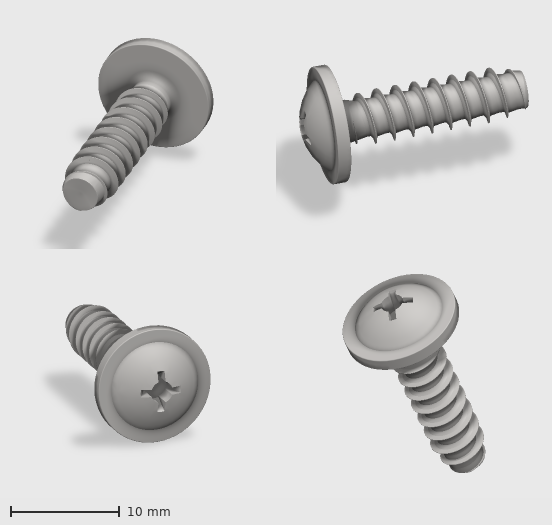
import cadquery as cq
import math

head_height = 3.17
shank_length = 17.97

flange_radius = 5.5
flange_thickness = 1.25
flange_edge_fillet = 0.08
dome_sphere_radius = 5.48

recess_core_radius = 1.05
recess_wing_radius = 1.99
recess_wing_width = 0.7
recess_wing_draft = 26.5
recess_floor = flange_thickness

dome_center_height = head_height - math.sqrt(dome_sphere_radius**2 - recess_core_radius**2)

neck_radius = 1.99
neck_fillet = 0.68
neck_length = 1.25
neck_taper_end = 2.05
core_radius = 1.73
tip_radius = 1.71
tip_dish_radius = 1.63
tip_dish_depth = 0.15

pitch = 1.8
first_crest_depth = 2.26
crest_radius = 2.52
crest_half_width = 0.032
head_flank_break_radius = 2.07
head_flank_break_offset = 0.1
head_flank_root_offset = 0.53
tip_flank_root_offset = 0.35
ramp_top_radius = 1.92
ramp_end_radius = 1.7
ramp_end_offset = 1.3
root_radius = 1.48
thread_overrun = pitch / 4

full_thread_start = 3.07
full_thread_end = 15.3
neck_runout_slope = 0.21
tip_runout_slope = 0.27
tip_ramp_relief = 0.53


def upright_cylinder(radius, bottom, top):
    return cq.Workplane("XY").workplane(offset=bottom).circle(radius).extrude(top - bottom)


def revolve_about_z(points):
    """Solid of revolution from (radius, z) points."""
    return cq.Workplane("XZ").polyline(points).close().revolve(360, (0, 0, 0), (0, 1, 0))


def make_head():
    """Flange with rounded edges, carrying the dome."""
    flange = upright_cylinder(flange_radius, 0, flange_thickness)
    flange = flange.faces("|Z").edges().fillet(flange_edge_fillet)
    base_radius = math.sqrt(dome_sphere_radius**2 - (flange_thickness - dome_center_height) ** 2)
    dome_blank = upright_cylinder(base_radius, flange_thickness / 2, 2 * head_height)
    sphere = cq.Workplane("XY").sphere(dome_sphere_radius).translate((0, 0, dome_center_height))
    return flange.union(dome_blank.intersect(sphere))


def make_recess_cutter():
    """Round core plus four wings whose ends draw in toward the floor."""
    top = 2 * head_height
    wing_edge_height = dome_center_height + math.sqrt(dome_sphere_radius**2 - recess_wing_radius**2)
    draft = math.tan(math.radians(recess_wing_draft))
    floor_radius = recess_wing_radius - (wing_edge_height - recess_floor) * draft
    top_radius = recess_wing_radius + (top - wing_edge_height) * draft
    wing_cone = revolve_about_z([(0, recess_floor), (floor_radius, recess_floor), (top_radius, top), (0, top)])

    cutter = upright_cylinder(recess_core_radius, recess_floor, top)
    for angle in (0, 90):
        bar = cq.Workplane("XY").box(2 * top_radius, recess_wing_width, 2 * top)
        cutter = cutter.union(bar.rotate((0, 0, 0), (0, 0, 1), angle).intersect(wing_cone))
    return cutter


def make_neck():
    """Neck with a concave fillet under the head and a short taper down to the thread core."""
    flare_radius = neck_radius + neck_fillet
    profile = (
        cq.Workplane("XZ")
        .moveTo(0, flange_thickness / 2)
        .lineTo(flare_radius, flange_thickness / 2)
        .lineTo(flare_radius, 0)
        .radiusArc((neck_radius, -neck_fillet), -neck_fillet)
        .lineTo(neck_radius, -neck_length)
        .lineTo(core_radius, -neck_taper_end)
        .lineTo(0, -neck_taper_end)
        .close()
    )
    return profile.revolve(360, (0, 0, 0), (0, 1, 0))


def sweep_thread(section, top_depth, bottom_depth, slope=0.0):
    """Sweep (radius, offset) points up the thread helix; their radius grows by slope per unit of rise."""
    rise = bottom_depth - top_depth
    if slope:
        cone_angle = math.degrees(math.atan(slope))
        slant = math.hypot(1, slope)
        helix = cq.Wire.makeHelix(pitch * slant, rise * slant, core_radius, angle=cone_angle)
    else:
        helix = cq.Wire.makeHelix(pitch, rise, core_radius)
    swept = cq.Workplane("XZ").polyline(section).close().sweep(cq.Workplane(helix), isFrenet=True)
    start_angle = 360 * (first_crest_depth - bottom_depth) / pitch
    return swept.rotate((0, 0, 0), (0, 0, 1), start_angle).translate((0, 0, -bottom_depth))


def ridge_section(inward_shift=0.0):
    """Pointed ridge profile as (radius, offset) points, moved toward the axis by inward_shift."""
    points = [
        (root_radius, head_flank_root_offset),
        (head_flank_break_radius, head_flank_break_offset),
        (crest_radius, crest_half_width),
        (crest_radius, -crest_half_width),
        (root_radius, -tip_flank_root_offset),
    ]
    return [(radius - inward_shift, offset) for radius, offset in points]


def make_thread_ridge():
    """Full-height ridge with a run-out at each end, trimmed to the threaded length; returns three solids."""
    tip_end = shank_length + thread_overrun
    tip_shift = (tip_end - full_thread_end) * tip_runout_slope
    full_ridge = sweep_thread(ridge_section(), full_thread_start, full_thread_end)
    neck_end = neck_length - thread_overrun
    neck_runout = sweep_thread(ridge_section(), neck_end, full_thread_start, -neck_runout_slope)
    tip_runout = sweep_thread(ridge_section(tip_shift), full_thread_end, tip_end, tip_runout_slope)
    threaded_length = upright_cylinder(2 * crest_radius, -shank_length, -neck_length)
    pieces = [full_ridge, neck_runout, tip_runout]
    return [piece.intersect(threaded_length) for piece in pieces]


def make_core():
    """Core cylinder and the sloping root beside the ridge, relieved at the tip."""
    ramp_section = [
        (root_radius, 0),
        (ramp_top_radius, 0),
        (ramp_end_radius, -ramp_end_offset),
        (root_radius, -ramp_end_offset),
    ]
    ramp = sweep_thread(ramp_section, neck_length - pitch, shank_length + thread_overrun)
    long_core = upright_cylinder(core_radius, -shank_length - pitch, -neck_length / 2)
    envelope = revolve_about_z(
        [
            (0, -neck_length),
            (neck_radius, -neck_length),
            (neck_radius, -shank_length + tip_ramp_relief),
            (tip_radius, -shank_length),
            (0, -shank_length),
        ]
    )
    return long_core.union(ramp).intersect(envelope)


def make_tip_dish():
    """Shallow cone hollowed into the end of the shank."""
    tip = -shank_length
    return revolve_about_z([(0, tip), (tip_dish_radius, tip), (0, tip + tip_dish_depth)])


threaded_shank = make_core()
for ridge_piece in make_thread_ridge():
    threaded_shank = threaded_shank.union(ridge_piece)
shank = make_neck().union(threaded_shank).cut(make_tip_dish())
screw = make_head().cut(make_recess_cutter()).union(shank)

result = screw.rotate((0, 0, 0), (1, 0, 0), -90)